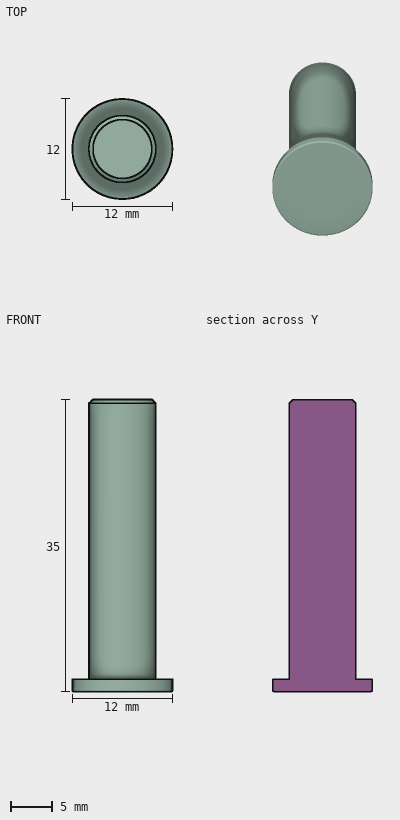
import cadquery as cq

total_length = 35.0
head_diameter = 12.0
head_thickness = 1.5
head_fillet = 0.2
shank_diameter = 8.0
tip_chamfer = 0.5

head = (
    cq.Workplane("XY")
    .circle(head_diameter / 2)
    .extrude(head_thickness)
    .faces("<Z")
    .edges().fillet(head_fillet)
)

shank = (
    cq.Workplane("XY")
    .workplane(offset=head_thickness)
    .circle(shank_diameter / 2)
    .extrude(total_length - head_thickness)
    .faces(">Z")
    .chamfer(tip_chamfer)
)

result = head.union(shank)